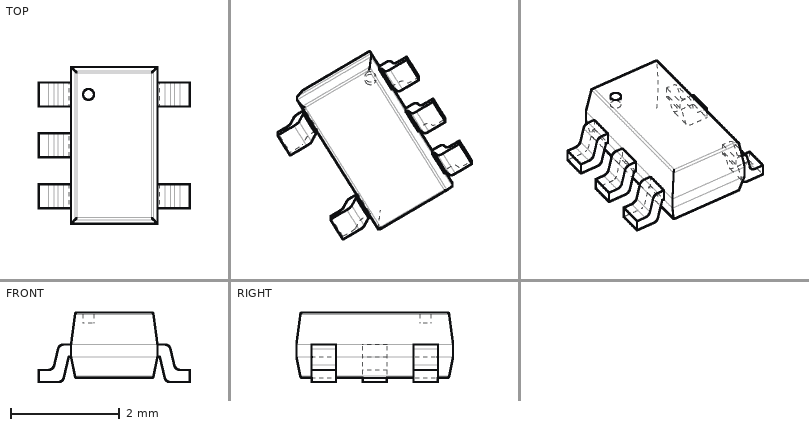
import cadquery as cq
import math

body_width = 1.6
body_length = 2.9
span_across_leads = 2.79
top_height = 1.29
standoff = 0.078

upper_draft = 7.6
lower_draft = 11.5
edge_radius = 0.04

lead_thickness = 0.23
lead_width = 0.45
lead_pitch = 0.94
shoulder_height = 0.7
bend_radius = 0.11
lead_slope = 13.2
foot_to_bend = 0.265
left_lead_rows = (-1, 0, 1)
right_lead_rows = (-1, 1)

mark_diameter = 0.2
mark_depth = mark_diameter
mark_from_side = 0.325

band_bottom = shoulder_height - lead_thickness
half_width = body_width / 2
half_span = span_across_leads / 2


def tapered_block(start_height, height, draft):
    """Block on the housing outline; a negative height extrudes downward."""
    return (
        cq.Workplane("XY")
        .workplane(offset=start_height)
        .rect(body_width, body_length)
        .extrude(height, taper=draft)
    )


def make_housing():
    """Moulded body with rounded top and bottom rims and the pin 1 recess."""
    band = tapered_block(band_bottom, lead_thickness, 0)
    upper = tapered_block(shoulder_height, top_height - shoulder_height, upper_draft)
    lower = tapered_block(band_bottom, standoff - band_bottom, lower_draft)
    upper = upper.faces(">Z").edges().fillet(edge_radius)
    lower = lower.faces("<Z").edges().fillet(edge_radius)
    mark = (
        cq.Workplane("XY")
        .workplane(offset=top_height - mark_depth)
        .center(mark_from_side - half_width, lead_pitch)
        .circle(mark_diameter / 2)
        .extrude(mark_depth)
    )
    return band.union(upper).union(lower).cut(mark)


def make_left_lead(y_center):
    """Gull-wing lead running from its foot tip up to the -X side of the housing."""
    slope_run = math.tan(math.radians(lead_slope))
    tip_x = -half_span
    foot_bend_x = tip_x + foot_to_bend
    shoulder_bend_x = foot_bend_x + (shoulder_height - lead_thickness) * slope_run
    slope_width = lead_thickness / math.cos(math.radians(lead_slope))
    heel_x = foot_bend_x + slope_width - lead_thickness * slope_run
    under_shoulder_x = heel_x + band_bottom * slope_run
    lead = (
        cq.Workplane("XZ", origin=(0, y_center + lead_width / 2, 0))
        .moveTo(tip_x, 0)
        .lineTo(heel_x, 0)
        .lineTo(under_shoulder_x, band_bottom)
        .lineTo(-half_width, band_bottom)
        .lineTo(-half_width, shoulder_height)
        .lineTo(shoulder_bend_x, shoulder_height)
        .lineTo(foot_bend_x, lead_thickness)
        .lineTo(tip_x, lead_thickness)
        .close()
        .extrude(lead_width)
    )

    rounded_corners = (
        (heel_x, 0),
        (foot_bend_x, lead_thickness),
        (shoulder_bend_x, shoulder_height),
    )
    for x, z in rounded_corners:
        corner_edge = cq.NearestToPointSelector((x, y_center, z))
        lead = lead.edges(corner_edge).fillet(bend_radius)
    return lead


def make_right_lead(y_center):
    """Left lead turned half a revolution about Z to the +X side."""
    return make_left_lead(-y_center).rotate((0, 0, 0), (0, 0, 1), 180)


housing = make_housing()
left_leads = [make_left_lead(row * lead_pitch) for row in left_lead_rows]
right_leads = [make_right_lead(row * lead_pitch) for row in right_lead_rows]

result = cq.Compound.makeCompound(
    [housing.solids().val(), *[lead.solids().val() for lead in left_leads + right_leads]]
)